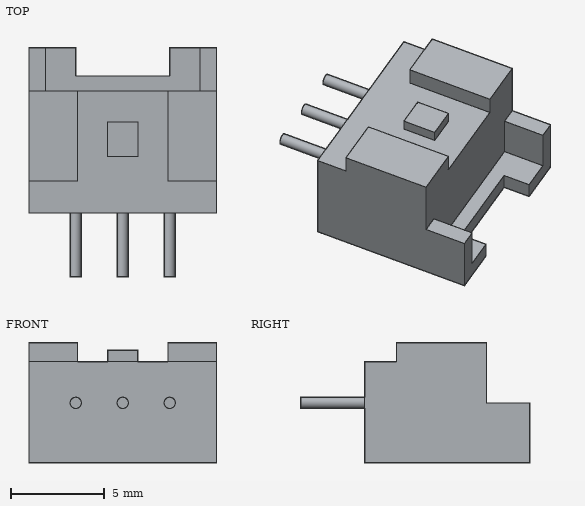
import cadquery as cq

HOUSING_WIDTH = 10.0
HOUSING_LENGTH = 8.8
DECK_HEIGHT = 5.4
OVERALL_HEIGHT = 6.4

SHELF_LENGTH = 2.3
SHELF_HEIGHT = 3.2
WALL = 0.9
FLOOR_NOTCH_WIDTH = 5.0
FLOOR_NOTCH_LENGTH = 1.5

PAD_WIDTH = 2.6
PAD_START = 1.7

KEY_WIDTH = 1.6
KEY_LENGTH = 1.85
KEY_START = 3.0
KEY_TOP = 6.0

PIN_COUNT = 3
PIN_PITCH = 2.5
PIN_DIAMETER = 0.6
PIN_LENGTH = 3.4
PIN_HEIGHT = 3.2
PIN_EMBED = 1.0

BLOCK_LENGTH = HOUSING_LENGTH - SHELF_LENGTH


def box(center_x, width, y_start, y_end, z_bottom, z_top):
    """Box centred on center_x, between the given Y and Z limits."""
    corner = (center_x - width / 2, y_start, z_bottom)
    return cq.Workplane("XY").box(width, y_end - y_start, z_top - z_bottom, centered=False).translate(corner)


def make_housing():
    """Tall block with the lower shelf behind it, extruded across the width."""
    profile = [
        (0, 0),
        (HOUSING_LENGTH, 0),
        (HOUSING_LENGTH, SHELF_HEIGHT),
        (BLOCK_LENGTH, SHELF_HEIGHT),
        (BLOCK_LENGTH, DECK_HEIGHT),
        (0, DECK_HEIGHT),
    ]
    return cq.Workplane("YZ").polyline(profile).close().extrude(HOUSING_WIDTH / 2, both=True)


def cut_mating_end(body):
    """Open the channel between the shelf walls, then notch its floor."""
    channel_width = HOUSING_WIDTH - 2 * WALL
    channel = box(0, channel_width, BLOCK_LENGTH, HOUSING_LENGTH, WALL, SHELF_HEIGHT)
    notch_start = HOUSING_LENGTH - FLOOR_NOTCH_LENGTH
    notch = box(0, FLOOR_NOTCH_WIDTH, notch_start, HOUSING_LENGTH, 0, WALL)
    return body.cut(channel).cut(notch)


def add_deck_blocks(body):
    """Add the two side pads and the central key on the deck."""
    pad_offset = (HOUSING_WIDTH - PAD_WIDTH) / 2
    for side in (-1, 1):
        pad = box(side * pad_offset, PAD_WIDTH, PAD_START, BLOCK_LENGTH, DECK_HEIGHT, OVERALL_HEIGHT)
        body = body.union(pad)
    key = box(0, KEY_WIDTH, KEY_START, KEY_START + KEY_LENGTH, DECK_HEIGHT, KEY_TOP)
    return body.union(key)


def add_pins(body):
    """Add the pins, each rooted in the housing and projecting toward -Y."""
    first_pin_x = -PIN_PITCH * (PIN_COUNT - 1) / 2
    for index in range(PIN_COUNT):
        pin = (
            cq.Workplane("XZ", origin=(first_pin_x + index * PIN_PITCH, PIN_EMBED, PIN_HEIGHT))
            .circle(PIN_DIAMETER / 2)
            .extrude(PIN_EMBED + PIN_LENGTH)
        )
        body = body.union(pin)
    return body


result = add_pins(add_deck_blocks(cut_mating_end(make_housing())))